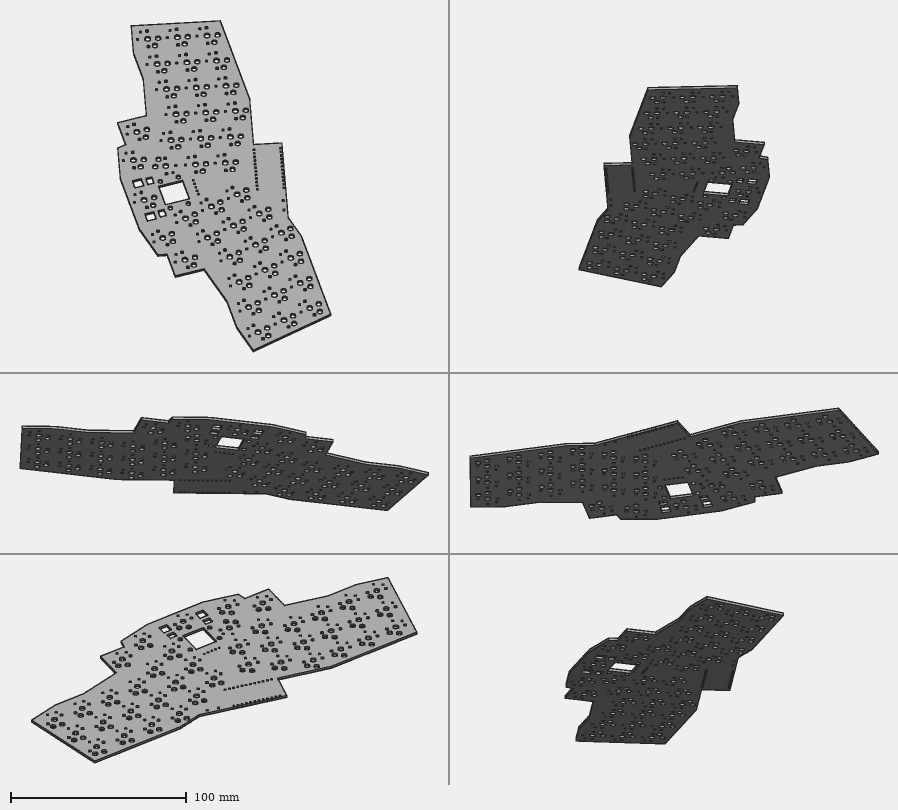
import cadquery as cq
import math

TILT = 13.0
COS = math.cos(math.radians(TILT))
SIN = math.sin(math.radians(TILT))
SLOPE = math.tan(math.radians(TILT))

THICKNESS = 1.58
WIDTH = 238.7
DEPTH = 95.2
HALF_WIDTH = WIDTH / 2
HALF_DEPTH = DEPTH / 2

SHOULDER_Y = 39.1
SHOULDER_INNER_X = 50.5
SHOULDER_OUTER_X = 108.0
WING_INNER_X = 81.9
WING_OUTER_X = 101.0
THUMB_X = 56.3
THUMB_BOTTOM_Y = -37.7
THUMB_INNER_X = 40.3
FOOT_X = 18.5
CONTROLLER_X = -15.5

COLUMNS = 6
COLUMN_SPAN = 90.0
COLUMN_PITCH = COLUMN_SPAN / (COLUMNS - 1)
LEVEL_STAGGER = COLUMN_PITCH * SLOPE
COLUMN_STAGGERS = [0, LEVEL_STAGGER, LEVEL_STAGGER, LEVEL_STAGGER, -LEVEL_STAGGER, -LEVEL_STAGGER]
ROWS = 3
ROW_SPAN = 34.0
ROW_PITCH = ROW_SPAN / (ROWS - 1)
FIRST_KEY = (-100.3, 29.0)
OUTER_THUMB_KEY = (-47.0, -29.1)
INNER_THUMB_KEY = (-28.6, -36.8)
MIDDLE_KEY = (0, -39.1)

STEM_DIAMETER = 3.3
SOCKET_DIAMETER = 3.0
POST_DIAMETER = 1.7
PIN_DIAMETER = 1.27
POST_X = 5.5
CONTACT_X = 5.0
CONTACT_NEAR_Y = 3.8
SOCKET_FAR_Y = 6.0
PIN_FAR_Y = 5.7
KEY_HOLES = [
    (0, 0, STEM_DIAMETER),
    (0, SOCKET_FAR_Y, SOCKET_DIAMETER),
    (CONTACT_X, CONTACT_NEAR_Y, SOCKET_DIAMETER),
    (-POST_X, 0, POST_DIAMETER),
    (POST_X, 0, POST_DIAMETER),
    (-CONTACT_X, -CONTACT_NEAR_Y, PIN_DIAMETER),
    (0, -PIN_FAR_Y, PIN_DIAMETER),
]

HEADER_DIAMETER = 1.1
CONTROLLER_PINS = 12
CONTROLLER_ROW_LENGTH = 28.0
PIN_PITCH = CONTROLLER_ROW_LENGTH / (CONTROLLER_PINS - 1)
CONTROLLER_ROW_GAP = 6 * PIN_PITCH
CONTROLLER_FIRST_PIN = (-12.2, 45.8)
DISPLAY_PINS = 5
DISPLAY_PIN_DIAMETER = 1.0
DISPLAY_Y = -8.4
BATTERY_PINS = 2
BATTERY_PITCH = 6.7
BATTERY_FIRST_PIN = (23.5, 36.5)
BATTERY_DIAMETER = 1.3

WINDOW_SIZE = (13.5, 14.3)
WINDOW_Y = -21.2
MOUNT_DIAMETER = 2.6
MOUNT_X = 9.8
MOUNT_YS = (-15.8, -26.5)
SMALL_OPENING = (12.0, -32.0, 4.5, 3.5)
LARGE_OPENING = (12.2, -39.0, 5.3, 5.3)


def turned(x, y, angle):
    """Rotate a point about the origin, counter-clockwise in degrees."""
    cosine = math.cos(math.radians(angle))
    sine = math.sin(math.radians(angle))
    return x * cosine - y * sine, x * sine + y * cosine


def right_edge():
    """Right half of the outline, from the top shoulder round to the bottom edge."""
    corner_y = SHOULDER_Y - (HALF_WIDTH - SHOULDER_OUTER_X) / SLOPE
    wing_y = corner_y - (HALF_WIDTH - WING_OUTER_X) * SLOPE
    thumb_top_y = wing_y - (WING_INNER_X - THUMB_X) * SLOPE
    foot_rise = THUMB_BOTTOM_Y + HALF_DEPTH
    step = (foot_rise - (THUMB_INNER_X - FOOT_X) * SLOPE) * COS
    step_x = THUMB_INNER_X - step * SIN
    step_y = (step_x - FOOT_X) * SLOPE - HALF_DEPTH
    return [
        (SHOULDER_INNER_X, SHOULDER_Y),
        (SHOULDER_OUTER_X, SHOULDER_Y),
        (HALF_WIDTH, corner_y),
        (WING_OUTER_X, wing_y),
        (WING_INNER_X, wing_y),
        (THUMB_X, thumb_top_y),
        (THUMB_X, THUMB_BOTTOM_Y),
        (THUMB_INNER_X, THUMB_BOTTOM_Y),
        (step_x, step_y),
        (FOOT_X, -HALF_DEPTH),
    ]


def controller_edge():
    """Top middle of the outline, from left to right: inner corner, peak and valley."""
    drop = HALF_DEPTH - SHOULDER_Y
    side = (drop + (CONTROLLER_X + SHOULDER_INNER_X) * SLOPE) * COS
    inner_corner = (CONTROLLER_X - side * SIN, HALF_DEPTH - side * COS)
    valley_x = (drop / SLOPE + CONTROLLER_X + SHOULDER_INNER_X) / 2
    valley_y = HALF_DEPTH - (valley_x - CONTROLLER_X) * SLOPE
    return [inner_corner, (CONTROLLER_X, HALF_DEPTH), (valley_x, valley_y)]


def board():
    right = right_edge()
    left = [(-x, y) for x, y in reversed(right)]
    outline = right + left + controller_edge()
    return cq.Workplane("XY").polyline(outline).close().extrude(THICKNESS)


def key_places():
    """Centre and rotation of every key."""
    places = [(*MIDDLE_KEY, 0)]
    for side in (1, -1):
        tilt = -TILT * side
        places.append((side * OUTER_THUMB_KEY[0], OUTER_THUMB_KEY[1], 0))
        places.append((side * INNER_THUMB_KEY[0], INNER_THUMB_KEY[1], tilt))
        shift = 0
        for column, stagger in enumerate(COLUMN_STAGGERS):
            shift += stagger
            for row in range(ROWS):
                dx, dy = turned(column * COLUMN_PITCH, shift - row * ROW_PITCH, -TILT)
                is_flipped = side == 1 and column == COLUMNS - 1 and row == ROWS - 1
                angle = tilt + 180 if is_flipped else tilt
                places.append((side * (FIRST_KEY[0] + dx), FIRST_KEY[1] + dy, angle))
    return places


def add_key_holes(holes):
    for key_x, key_y, angle in key_places():
        for x, y, diameter in KEY_HOLES:
            dx, dy = turned(x, y, angle)
            holes.setdefault(diameter, []).append((key_x + dx, key_y + dy))


def pin_row(start, count, pitch, angle):
    points = []
    for index in range(count):
        dx, dy = turned(index * pitch, 0, angle)
        points.append((start[0] + dx, start[1] + dy))
    return points


def add_pin_holes(holes):
    dx, dy = turned(0, -CONTROLLER_ROW_GAP, -TILT)
    second_row = (CONTROLLER_FIRST_PIN[0] + dx, CONTROLLER_FIRST_PIN[1] + dy)
    display_start = (-(DISPLAY_PINS - 1) * PIN_PITCH / 2, DISPLAY_Y)
    holes[HEADER_DIAMETER] = (
        pin_row(CONTROLLER_FIRST_PIN, CONTROLLER_PINS, PIN_PITCH, -TILT)
        + pin_row(second_row, CONTROLLER_PINS, PIN_PITCH, -TILT)
    )
    holes[DISPLAY_PIN_DIAMETER] = pin_row(display_start, DISPLAY_PINS, PIN_PITCH, 0)
    holes[BATTERY_DIAMETER] = pin_row(BATTERY_FIRST_PIN, BATTERY_PINS, BATTERY_PITCH, -TILT)
    holes[MOUNT_DIAMETER] = [(x, y) for x in (-MOUNT_X, MOUNT_X) for y in MOUNT_YS]


def opening(x, y, width, height):
    return cq.Workplane("XY").center(x, y).rect(width, height).extrude(THICKNESS)


def hole_cutters(points, diameter):
    return cq.Workplane("XY").pushPoints(points).circle(diameter / 2).extrude(THICKNESS)


holes = {}
add_key_holes(holes)
add_pin_holes(holes)

result = board()
for diameter, points in holes.items():
    result = result.cut(hole_cutters(points, diameter))
result = result.cut(opening(0, WINDOW_Y, *WINDOW_SIZE))
for x, y, width, height in (SMALL_OPENING, LARGE_OPENING):
    for side in (-1, 1):
        result = result.cut(opening(side * x, y, width, height))